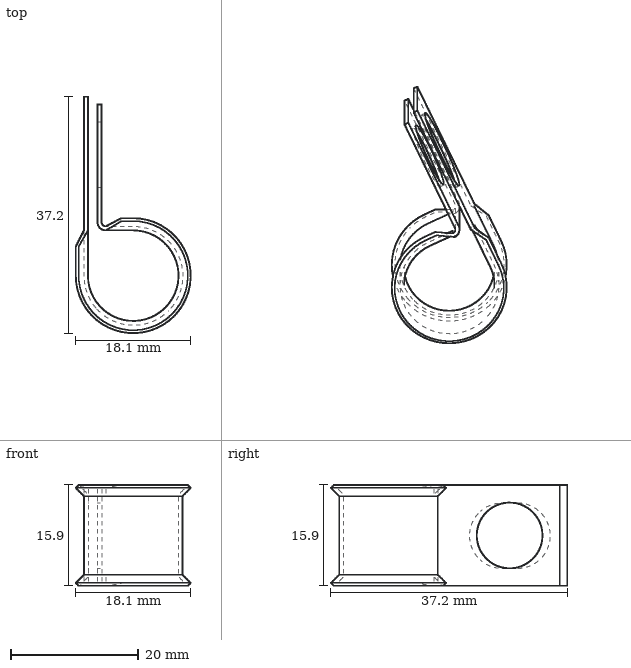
import cadquery as cq
import math

thickness = 0.67
height = 15.9
inner_radius = 7.1
outer_radius = inner_radius + thickness

flare_angle = math.radians(45)
rim_radius = 9.063
rim_edge = thickness * math.sin(flare_angle)
half_height = height / 2
flare_base = half_height - rim_edge - (rim_radius - outer_radius)

left_rim_length = 4.58
left_transition = 2.55
top_rim_length = 1.85
top_transition = 2.45

long_tab_end = 37.22 - rim_radius
short_tab_end = long_tab_end - 1.2
bend_inner_radius = 0.65
bend_outer_radius = bend_inner_radius + thickness
bend_start = -(top_rim_length + top_transition)
short_tab_left = bend_start - bend_outer_radius

hole_center_y = 19.05
hole_diameter = 10.3
slot_length = 12.7

left_plane = cq.Plane(origin=(0, 0, 0), xDir=(-1, 0, 0), normal=(0, 1, 0))
top_plane = cq.Plane(origin=(0, 0, 0), xDir=(0, 1, 0), normal=(1, 0, 0))


def flared_section(workplane):
    """Upper rim section, bent around its sharp outer corner."""
    bend_angle = flare_angle / 2
    bend_middle = (
        outer_radius - thickness * math.cos(bend_angle),
        flare_base + thickness * math.sin(bend_angle),
    )
    return (
        workplane.moveTo(outer_radius, flare_base)
        .lineTo(rim_radius, half_height - rim_edge)
        .lineTo(rim_radius - rim_edge, half_height)
        .lineTo(outer_radius - rim_edge, flare_base + rim_edge)
        .threePointArc(bend_middle, (inner_radius, flare_base))
        .close()
    )


def flat_section(workplane):
    """Unbent strip edge, with one point for each corner of the flared section."""
    return (
        workplane.moveTo(outer_radius, flare_base)
        .lineTo(outer_radius, half_height)
        .lineTo(inner_radius, half_height)
        .lineTo(inner_radius, flare_base + rim_edge)
        .lineTo(inner_radius, flare_base)
        .close()
    )


def straight_rim(plane, length, transition):
    """Straight rim from the loop axis, then a transition; negative lengths run backward."""
    straight = flared_section(cq.Workplane(plane)).extrude(length)
    start = flared_section(cq.Workplane(plane).workplane(offset=length))
    blend = flat_section(start.workplane(offset=transition)).loft(ruled=True)
    return straight.union(blend)


def upper_rim():
    around = flared_section(cq.Workplane(left_plane)).revolve(270, (0, 0), (0, 1))
    left = straight_rim(left_plane, left_rim_length, left_transition)
    top = straight_rim(top_plane, -top_rim_length, -top_transition)
    return around.union(left).union(top)


def loop_wall():
    """Upright wall between the rims, including both straight stretches."""
    diagonal = math.sqrt(0.5)
    return (
        cq.Workplane("XY", origin=(0, 0, -flare_base))
        .moveTo(-outer_radius, left_rim_length + left_transition)
        .lineTo(-outer_radius, 0)
        .threePointArc((outer_radius * diagonal, -outer_radius * diagonal), (0, outer_radius))
        .lineTo(bend_start, outer_radius)
        .lineTo(bend_start, inner_radius)
        .lineTo(0, inner_radius)
        .threePointArc((inner_radius * diagonal, -inner_radius * diagonal), (-inner_radius, 0))
        .lineTo(-inner_radius, left_rim_length + left_transition)
        .close()
        .extrude(2 * flare_base)
    )


def tab_hole(left_x, length):
    """Cutter through one tab; its ends are round."""
    sketch = cq.Workplane("YZ", origin=(left_x, hole_center_y, 0))
    if length > hole_diameter:
        return sketch.slot2D(length, hole_diameter).extrude(thickness)
    return sketch.circle(hole_diameter / 2).extrude(thickness)


def long_tab():
    tab_start = left_rim_length + left_transition
    tab = (
        cq.Workplane("XY", origin=(0, 0, -half_height))
        .moveTo(-outer_radius, tab_start)
        .lineTo(-inner_radius, tab_start)
        .lineTo(-inner_radius, long_tab_end)
        .lineTo(-outer_radius, long_tab_end)
        .close()
        .extrude(height)
    )
    return tab.cut(tab_hole(-outer_radius, slot_length))


def short_tab():
    """Tab that turns out of the loop through a rounded right-angle bend."""
    bend_y = inner_radius + bend_outer_radius
    tab = (
        cq.Workplane("XY", origin=(0, 0, -half_height))
        .moveTo(bend_start, inner_radius)
        .radiusArc((short_tab_left, bend_y), bend_outer_radius)
        .lineTo(short_tab_left, short_tab_end)
        .lineTo(short_tab_left + thickness, short_tab_end)
        .lineTo(short_tab_left + thickness, bend_y)
        .radiusArc((bend_start, outer_radius), -bend_inner_radius)
        .close()
        .extrude(height)
    )
    return tab.cut(tab_hole(short_tab_left, hole_diameter))


rim = upper_rim()
result = loop_wall().union(rim).union(rim.mirror("XY")).union(long_tab()).union(short_tab())